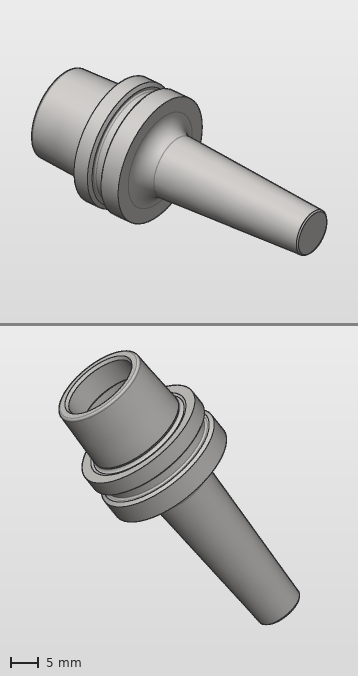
import cadquery as cq
import math

total_length = 57.9

taper_length = 12.75
taper_small_radius = 9.0
taper_large_radius = 9.5
taper_end = 11.9
nose_round = 0.45

root_relief_end = 12.3
root_relief_radius = 9.4
root_fillet = 0.65
recess_outer_radius = 10.55

flange_length = 10.15
flange_radius = 12.5
flange_end = taper_length + flange_length
groove_center_x = 17.35
groove_floor_radius = 10.95
groove_floor_half_width = 0.75
groove_corner_radius = 0.35
groove_chamfer_width = 0.45
groove_chamfer_angle = math.radians(60)

neck_fillet = 3.3
neck_end = flange_end + neck_fillet
shank_root_radius = 6.2
shank_tip_radius = 4.5
tip_chamfer = 0.3

mouth_radius = 7.4
mouth_depth = 0.65
bore_radius = 7.0
bore_depth = 5.2
undercut_radius = 7.5
undercut_start = 5.55
bore_floor = 10.7
floor_fillet = 0.85


def arc_point(center_x, center_r, radius, angle):
    """Point on a circle; the angle is measured from the +X direction."""
    return (center_x + radius * math.cos(angle), center_r + radius * math.sin(angle))


def groove_wall():
    """One groove wall as (distance from the groove center, radius) points, from the rim to the floor."""
    wall_distance = groove_floor_half_width + groove_corner_radius
    corner_center_r = groove_floor_radius + groove_corner_radius
    chamfer_bottom_radius = flange_radius - groove_chamfer_width * math.tan(groove_chamfer_angle)
    corner_middle = arc_point(
        groove_floor_half_width, corner_center_r, groove_corner_radius, math.radians(-45)
    )
    return [
        (wall_distance + groove_chamfer_width, flange_radius),
        (wall_distance, chamfer_bottom_radius),
        (wall_distance, corner_center_r),
        corner_middle,
        (groove_floor_half_width, groove_floor_radius),
    ]


def revolve_profile(profile):
    return profile.close().revolve(360, (0, 0, 0), (1, 0, 0))


def make_body():
    nose_center_r = taper_small_radius - nose_round
    nose_middle = arc_point(nose_round, nose_center_r, nose_round, math.radians(135))

    root_center_r = root_relief_radius + root_fillet
    root_middle = arc_point(root_relief_end, root_center_r, root_fillet, math.radians(-45))
    root_end = (root_relief_end + root_fillet, root_center_r)

    wall = groove_wall()
    left_wall = [(groove_center_x - distance, radius) for distance, radius in wall]
    right_wall = [(groove_center_x + distance, radius) for distance, radius in reversed(wall)]

    neck_center_r = shank_root_radius + neck_fillet
    neck_middle = arc_point(neck_end, neck_center_r, neck_fillet, math.radians(225))

    profile = (
        cq.Workplane("XY")
        .moveTo(0, 0)
        .lineTo(0, nose_center_r)
        .threePointArc(nose_middle, (nose_round, taper_small_radius))
        .lineTo(taper_end, taper_large_radius)
        .lineTo(root_relief_end, root_relief_radius)
        .threePointArc(root_middle, root_end)
        .lineTo(taper_length, recess_outer_radius)
        .lineTo(taper_length, flange_radius)
        .lineTo(*left_wall[0])
        .lineTo(*left_wall[1])
        .lineTo(*left_wall[2])
        .threePointArc(left_wall[3], left_wall[4])
        .lineTo(*right_wall[0])
        .threePointArc(right_wall[1], right_wall[2])
        .lineTo(*right_wall[3])
        .lineTo(*right_wall[4])
        .lineTo(flange_end, flange_radius)
        .lineTo(flange_end, neck_center_r)
        .threePointArc(neck_middle, (neck_end, shank_root_radius))
        .lineTo(total_length - tip_chamfer, shank_tip_radius)
        .lineTo(total_length, shank_tip_radius - tip_chamfer)
        .lineTo(total_length, 0)
    )
    return revolve_profile(profile)


def make_bore():
    fillet_x = bore_floor - floor_fillet
    fillet_r = undercut_radius - floor_fillet
    fillet_middle = arc_point(fillet_x, fillet_r, floor_fillet, math.radians(45))
    profile = (
        cq.Workplane("XY")
        .moveTo(0, 0)
        .lineTo(0, mouth_radius)
        .lineTo(mouth_depth, bore_radius)
        .lineTo(bore_depth, bore_radius)
        .lineTo(undercut_start, undercut_radius)
        .lineTo(fillet_x, undercut_radius)
        .threePointArc(fillet_middle, (bore_floor, fillet_r))
        .lineTo(bore_floor, 0)
    )
    return revolve_profile(profile)


result = make_body().cut(make_bore())